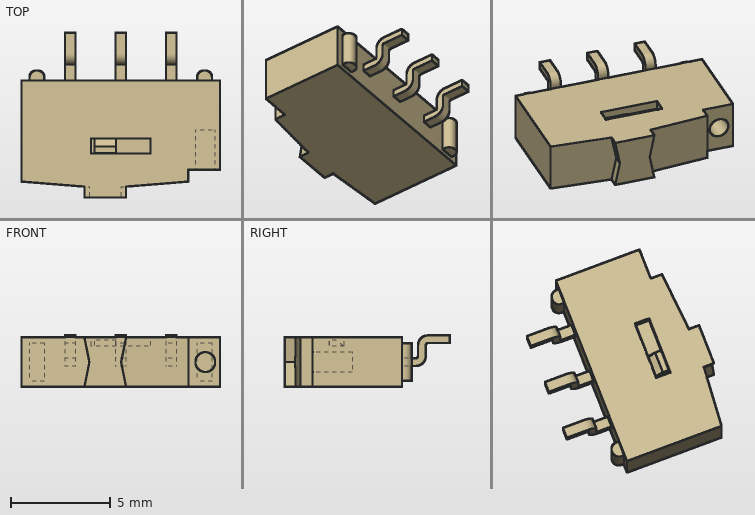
import cadquery as cq


housing_length = 10.0
housing_depth = 4.5
housing_height = 2.5
mid_height = housing_height / 2

hole_diameter = 1.0
hole_depth = 2.0
hole_x = 4.25

slider_left = -housing_length / 2
slider_length = 8.4
slider_right = slider_left + slider_length
slider_end_depth = 0.6
slider_middle_depth = 0.875

knob_center = -0.78
knob_width = 2.1
knob_notch = 0.25
knob_reach = 1.4

window_length = 3.0
window_width = 0.75
window_front = 0.82
window_back = window_front + window_width
window_depth = 0.45
window_floor = housing_height - window_depth
indicator_length = 1.1
indicator_front = 0.84
indicator_ridge = 1.16
indicator_height = 0.31

post_width = 0.76
post_height = 1.9
post_reach = 0.5
post_round = 0.35
post_x = 4.215

terminal_pitch = 2.54
terminal_width = 0.55
terminal_thickness = 0.4
terminal_reach = 2.4
terminal_top = 2.6
terminal_riser = 0.8
bend_inner_radius = 0.1
bend_outer_radius = bend_inner_radius + terminal_thickness


def box_between(x_range, y_range, z_range):
    """Axis-aligned box spanning the given (low, high) ranges."""
    lows, highs = zip(x_range, y_range, z_range)
    sizes = [high - low for low, high in zip(lows, highs)]
    return cq.Workplane("XY").box(*sizes, centered=False).translate(lows)


def make_housing():
    """Block with a blind round hole in its front and a shallow window in its top."""
    body = box_between(
        (-housing_length / 2, housing_length / 2),
        (0, housing_depth),
        (0, housing_height),
    )
    hole = (
        cq.Workplane("XZ")
        .center(hole_x, mid_height)
        .circle(hole_diameter / 2)
        .extrude(-hole_depth)
    )
    window = box_between(
        (-window_length / 2, window_length / 2),
        (window_front, window_back),
        (window_floor, housing_height),
    )
    return body.cut(hole).cut(window)


def make_slider():
    """Plate that thickens evenly from both ends to the waist of the knob."""
    half_waist = knob_width / 2 - knob_notch
    return (
        cq.Workplane("XY")
        .moveTo(slider_left, 0)
        .lineTo(slider_left, -slider_end_depth)
        .lineTo(knob_center - half_waist, -slider_middle_depth)
        .lineTo(knob_center + half_waist, -slider_middle_depth)
        .lineTo(slider_right, -slider_end_depth)
        .lineTo(slider_right, 0)
        .close()
        .extrude(housing_height)
    )


def make_knob():
    """Knob with sides that narrow to the middle of its height."""
    half_top = knob_width / 2
    half_waist = half_top - knob_notch
    return (
        cq.Workplane("XZ")
        .center(knob_center, 0)
        .moveTo(-half_top, 0)
        .lineTo(half_top, 0)
        .lineTo(half_waist, mid_height)
        .lineTo(half_top, housing_height)
        .lineTo(-half_top, housing_height)
        .lineTo(-half_waist, mid_height)
        .close()
        .extrude(knob_reach)
    )


def make_indicator():
    """Flat-topped wedge on the window floor, sloping down to the back wall."""
    indicator_top = window_floor + indicator_height
    return (
        cq.Workplane("YZ")
        .moveTo(indicator_front, window_floor)
        .lineTo(indicator_front, indicator_top)
        .lineTo(indicator_ridge, indicator_top)
        .lineTo(window_back, window_floor)
        .close()
        .extrude(indicator_length / 2, both=True)
        .translate((knob_center, 0, 0))
    )


def make_post(x):
    """Upright post on the back face with rounded vertical edges."""
    half_width = post_width / 2
    post = box_between(
        (x - half_width, x + half_width),
        (housing_depth, housing_depth + post_reach),
        (mid_height - post_height / 2, mid_height + post_height / 2),
    )
    return post.faces(">Y").edges("|Z").fillet(post_round)


def make_terminal(x):
    """Strip that leaves the back at mid height, bends up, then bends backwards."""
    root_bottom = mid_height - terminal_thickness / 2
    root_top = root_bottom + terminal_thickness
    riser_front = housing_depth + terminal_riser
    riser_back = riser_front + terminal_thickness
    tip = housing_depth + terminal_reach
    foot_bottom = terminal_top - terminal_thickness
    inner = bend_inner_radius
    outer = bend_outer_radius
    return (
        cq.Workplane("YZ")
        .moveTo(housing_depth, root_bottom)
        .lineTo(riser_back - outer, root_bottom)
        .radiusArc((riser_back, root_bottom + outer), -outer)
        .lineTo(riser_back, foot_bottom - inner)
        .radiusArc((riser_back + inner, foot_bottom), inner)
        .lineTo(tip, foot_bottom)
        .lineTo(tip, terminal_top)
        .lineTo(riser_front + outer, terminal_top)
        .radiusArc((riser_front, terminal_top - outer), -outer)
        .lineTo(riser_front, root_top + inner)
        .radiusArc((riser_front - inner, root_top), inner)
        .lineTo(housing_depth, root_top)
        .close()
        .extrude(terminal_width / 2, both=True)
        .translate((x, 0, 0))
    )


result = make_housing().union(make_slider()).union(make_knob()).union(make_indicator())
for side in (-1, 1):
    result = result.union(make_post(side * post_x))
for position in (-1, 0, 1):
    result = result.union(make_terminal(position * terminal_pitch))